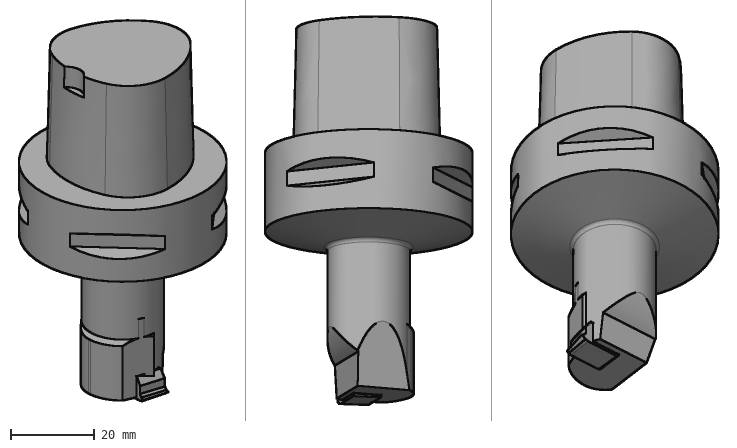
import cadquery as cq
import math


taper_height = 30.0
taper_angle = math.degrees(math.atan(1 / 40))
lobe_offset = 6.1
lobe_radius = 12.5
lobe_half_angle = 37.8
key_radius = 4.5
key_bottom_y = -13.95
key_depth = 5.6

flange_diameter = 50.0
flange_radius = flange_diameter / 2
flange_height = 19.5
cone_angle = 15
neck_diameter = 20.0
neck_radius = neck_diameter / 2
neck_bottom = -43.3
neck_fillet = 1.1

groove_count = 4
groove_floor_distance = 22.2
groove_floor_height = 3.5
groove_side_angle = 30
groove_center_z = -10.0

head_bottom = -59.3
head_radius = 11.2
head_chamfer_angle = 45
facet_start_x = -7.2
facet_end = (-5.3, -8.8)
land_start_x = 0.1
land_end_x = 0.9
flat_start_x = 8.3
flat_end = (10.5, 0.7)
flat_top = -38.1
slant_top = -43.8
slant_angle = 15
flute_bottom_y = 5.0
flute_corner = (5.7, -51.3)
flute_middle = (8.6, -47.5)

insert_front_y = -3.8
insert_rear_y = 3.2
insert_left = 1.35
insert_top = -53.55
insert_bottom = taper_height - 90
insert_front_outline = [
    (insert_left, insert_top), (9.4, insert_top), (10.5, -55.7), (10.5, -57.9), (11.0, -58.7),
    (11.7, -59.0), (11.25, -59.6), (10.5, -59.8), (1.9, -59.8), (insert_left, -59.4),
]
insert_rear_outline = [
    (insert_left, insert_top), (10.1, insert_top), (11.6, -55.6), (11.6, -57.9), (12.2, -58.6),
    (12.9, -58.95), (11.7, -59.8), (10.9, insert_bottom), (1.9, insert_bottom), (insert_left, -59.5),
]

margin = 9.0


def polar(center, radius, degrees):
    """Point at a given direction and distance from a centre."""
    angle = math.radians(degrees)
    return (center[0] + radius * math.cos(angle), center[1] + radius * math.sin(angle))


def make_taper():
    flank_half_angle = 60 - lobe_half_angle
    lobe_half_spacing = lobe_offset * math.sin(math.radians(60))
    flank_center_distance = lobe_half_spacing / math.sin(math.radians(flank_half_angle))
    flank_offset = flank_center_distance * math.cos(math.radians(flank_half_angle)) - lobe_offset / 2
    flank_distance = flank_center_distance + lobe_radius - flank_offset

    first_lobe = polar((0, 0), lobe_offset, 90)
    outline = cq.Workplane("XY").moveTo(*polar(first_lobe, lobe_radius, 90 - lobe_half_angle))
    for direction in (90, 210, 330):
        lobe_center = polar((0, 0), lobe_offset, direction)
        next_center = polar((0, 0), lobe_offset, direction + 120)
        outline = outline.threePointArc(
            polar(lobe_center, lobe_radius, direction),
            polar(lobe_center, lobe_radius, direction + lobe_half_angle),
        ).threePointArc(
            polar((0, 0), flank_distance, direction + 60),
            polar(next_center, lobe_radius, direction + 120 - lobe_half_angle),
        )
    taper = outline.close().extrude(taper_height, taper=taper_angle)

    key_notch = (
        cq.Workplane("XY", origin=(0, key_bottom_y - key_radius, taper_height - key_depth))
        .circle(key_radius)
        .extrude(key_depth + margin)
    )
    return taper.cut(key_notch)


def make_flange_and_neck():
    cone_height = (flange_radius - neck_radius) * math.tan(math.radians(cone_angle))
    cone_bottom = -flange_height - cone_height
    turned = (
        cq.Workplane("XZ")
        .polyline([
            (0, 0), (flange_radius, 0), (flange_radius, -flange_height),
            (neck_radius, cone_bottom), (neck_radius, head_bottom), (0, head_bottom),
        ])
        .close()
        .revolve(360, (0, 0, 0), (0, 1, 0))
    )
    junction = cq.selectors.BoxSelector(
        (-margin, -margin, cone_bottom - 0.1), (margin, margin, cone_bottom + 0.1)
    )
    return turned.edges(junction).fillet(neck_fillet)


def make_groove(direction):
    """Straight groove with sloping sides, across the flange rim."""
    depth = flange_radius + margin - groove_floor_distance
    floor_half = groove_floor_height / 2
    mouth_half = floor_half + depth * math.tan(math.radians(groove_side_angle))
    return (
        cq.Workplane("XZ")
        .polyline([
            (groove_floor_distance, groove_center_z - floor_half),
            (groove_floor_distance + depth, groove_center_z - mouth_half),
            (groove_floor_distance + depth, groove_center_z + mouth_half),
            (groove_floor_distance, groove_center_z + floor_half),
        ])
        .close()
        .extrude(flange_radius, both=True)
        .rotate((0, 0, 0), (0, 0, 1), direction)
    )


def on_circle(x, radius):
    """Point of a circle about the axis, on its -Y half."""
    return (x, -math.sqrt(radius**2 - x**2))


def make_head():
    land_y = on_circle(land_end_x, head_radius)[1]
    run = land_start_x - facet_end[0]
    drop = facet_end[1] - land_y
    arc_radius = (run**2 + drop**2) / (2 * drop)
    arc_center = (land_start_x, land_y + arc_radius)
    arc_start_angle = math.degrees(math.atan2(facet_end[1] - arc_center[1], -run))
    arc_middle = polar(arc_center, arc_radius, (arc_start_angle - 90) / 2)

    head = (
        cq.Workplane("XY", origin=(0, 0, head_bottom))
        .moveTo(0, 0)
        .lineTo(*on_circle(facet_start_x, neck_radius))
        .lineTo(*facet_end)
        .threePointArc(arc_middle, (land_start_x, land_y))
        .lineTo(land_end_x, land_y)
        .threePointArc(
            on_circle((land_end_x + flat_start_x) / 2, head_radius),
            on_circle(flat_start_x, head_radius),
        )
        .lineTo(*flat_end)
        .lineTo(0, neck_radius)
        .close()
        .extrude(neck_bottom - head_bottom)
    )

    overhang = head_radius + margin - neck_radius
    shoulder_drop = overhang * math.tan(math.radians(head_chamfer_angle))
    shoulder = (
        cq.Workplane("XZ")
        .polyline([
            (0, neck_bottom), (neck_radius, neck_bottom),
            (neck_radius + overhang, neck_bottom - shoulder_drop),
            (neck_radius + overhang, head_bottom - margin), (0, head_bottom - margin),
        ])
        .close()
        .revolve(360, (0, 0, 0), (0, 1, 0))
    )
    return head.intersect(shoulder)


def make_side_flat():
    """Flat facing +X, running from the head up into the neck."""
    start = on_circle(flat_start_x, head_radius)
    return (
        cq.Workplane("XY", origin=(0, 0, head_bottom))
        .polyline([start, flat_end, (flat_end[0] + margin, flat_end[1]), (flat_end[0] + margin, start[1])])
        .close()
        .extrude(flat_top - head_bottom)
    )


def make_slant_cut():
    """Wedge removed from the -X side of the head."""
    bottom = head_bottom - margin
    slant_run = (slant_top - bottom) * math.tan(math.radians(slant_angle))
    return (
        cq.Workplane("XZ")
        .polyline([
            (-neck_radius, slant_top), (-neck_radius + slant_run, bottom),
            (-neck_radius - margin, bottom), (-neck_radius - margin, slant_top),
        ])
        .close()
        .extrude(2 * neck_radius, both=True)
    )


def make_flute_cut():
    """Chip space removed from the +Y side of the head, with a curved run-out."""
    return (
        cq.Workplane("YZ")
        .moveTo(flute_bottom_y, head_bottom)
        .lineTo(*flute_corner)
        .threePointArc(flute_middle, (neck_radius, slant_top))
        .lineTo(neck_radius + margin, slant_top)
        .lineTo(neck_radius + margin, head_bottom)
        .close()
        .extrude(2 * neck_radius, both=True)
    )


def make_insert():
    return (
        cq.Workplane("XZ", origin=(0, insert_rear_y, 0))
        .polyline(insert_rear_outline)
        .close()
        .workplane(offset=insert_rear_y - insert_front_y)
        .polyline(insert_front_outline)
        .close()
        .loft(ruled=True)
    )


def make_holder(insert):
    holder = make_flange_and_neck().union(make_taper()).union(make_head())
    for index in range(groove_count):
        holder = holder.cut(make_groove(45 + index * 360 / groove_count))
    holder = holder.cut(make_side_flat()).cut(make_slant_cut()).cut(make_flute_cut())
    return holder.cut(insert)


insert = make_insert()
holder = make_holder(insert)

result = cq.Compound.makeCompound([holder.solids().val(), insert.val()])